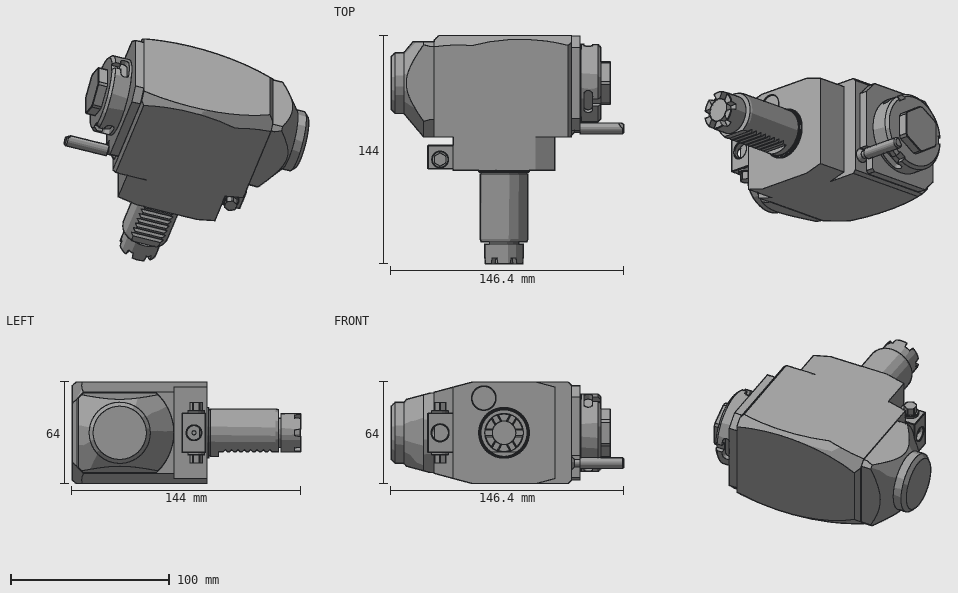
import cadquery as cq
import math


SPINDLE_Y = 55.0
HOUSING_TOP = 85.0
HALF_HEIGHT = 32.0
HOUSING_LEFT = -44.0
HOUSING_RIGHT = 42.3
STEP_Y = 21.0
FOOT_HALF_WIDTH = 32.0
TAPER_START = 20.0
TAPER_SLOPE = math.tan(math.radians(15))
BACK_CHAMFER = 3.0
RIGHT_CHAMFER = 1.9
CROWN_RADIUS = 190.0
CROWN_CENTRE_X = 10.3
CROWN_PEAK = 42.2
COVER_RADIUS = 7.75
COVER_X = -12.7
COVER_Z = 21.8
COVER_DEPTH = 0.5
COVER_TAPER = 35.0

CAP_LEFT = -71.0
CAP_RADIUS = 19.25
CAP_CHAMFER = 2.5
CAP_RIGHT = -63.0
HEAD_RADIUS = 34.0
HEAD_CONE_END = -50.6
HEAD_TOP = 81.0
HEAD_HALF_HEIGHT = 25.1
HEAD_TAPER_START = -46.35

PLATE_RIGHT = 47.8
PLATE_HALF = 29.75
PLATE_CHAMFER = 7.3
NOTCH_Z = -14.2
NOTCH_Y = 30.8

NECK_RADIUS = 21.2
NUT_LEFT = 48.5
NUT_RIGHT = 61.0
NUT_RADIUS = 24.5
NUT_CHAMFER = 1.85
NUT_SLOT_COUNT = 3
NUT_SLOT_FIRST = 30.0
NUT_SLOT_X = 52.95
NUT_SLOT_WIDTH = 5.5
NUT_SLOT_LENGTH = 16.0
NUT_SLOT_FLOOR = 19.8
NUT_KEYWAY_WIDTH = 5.2
NUT_KEYWAY_FLOOR = 21.3
HEX_RIGHT = 67.1
HEX_FLATS = 27.0
HEX_CORNER_FLATS = 30.0
HEX_CHAMFER = 0.4

PIN_RIGHT = 75.38
PIN_RADIUS = 3.5
PIN_Y = 26.4
PIN_Z = -19.1
PIN_CHAMFER = 0.9
PIN_NECK_RADIUS = 2.4
PIN_FLARE_RADIUS = 4.5
PIN_BEVEL_LENGTH = 3.0
PIN_BEVEL_DEPTH = 2.0

FLANGE_RADIUS = 16.0
FLANGE_END = -1.3
FLANGE_CHAMFER = 0.5
RELIEF_RADIUS = 14.6
RELIEF_END = -2.1
SHANK_RADIUS = 15.0
SHANK_END = -45.0
SHANK_TIP_LENGTH = 1.7
SHANK_TIP_DROP = 0.5
SHANK_NECK_RADIUS = 9.3
RACK_Z = -12.05
RACK_START = -7.2
RACK_FIRST_GROOVE = -11.4
RACK_PITCH = 4.0
RACK_GROOVE_COUNT = 8
RACK_GROOVE_DEPTH = 1.4

END_NUT_TOP = -46.3
END_NUT_BOTTOM = -59.0
END_NUT_RADIUS = 12.15
END_NUT_CHAMFER = 0.4
END_NUT_HUB_RADIUS = 7.4
END_SLOT_COUNT = 6
END_SLOT_FIRST = 90.0
END_NUT_DISH_DEPTH = 0.3
END_SLOT_DEPTH = 4.0
END_SLOT_FLOOR_WIDTH = 3.5
END_SLOT_MOUTH_WIDTH = 5.0

VALVE_LEFT = -48.0
VALVE_RIGHT = -FOOT_HALF_WIDTH
VALVE_BOTTOM = 0.9
VALVE_TOP = 15.9
VALVE_HALF_HEIGHT = 12.5
VALVE_EDGE = 0.4
VALVE_PORT_X = -40.2
VALVE_PORT_RADIUS = 5.2
VALVE_PORT_RIM = 0.5
VALVE_PORT_DEPTH = 4.0
VALVE_SIDE_PORT_Y = 8.3
VALVE_SIDE_PORT_RADIUS = 4.5
VALVE_SIDE_PORT_DEPTH = 4.1
VALVE_BLEED_RADIUS = 1.3
VALVE_BLEED_DEPTH = 7.0
SCREW_Y = 6.9
SCREW_COLLAR_RADIUS = 5.3
SCREW_COLLAR_HEIGHT = 1.2
SCREW_CONE_HEIGHT = 0.4
SCREW_HEX_FLATS = 7.3
SCREW_HEX_CORNER_FLATS = 8.0
SCREW_TOP = 19.0


def box(x_range, y_range, z_range):
    size = [high - low for low, high in (x_range, y_range, z_range)]
    corner = (x_range[0], y_range[0], z_range[0])
    return cq.Workplane("XY").box(*size, centered=False).translate(corner)


def turned_on_x(profile, axis_y):
    """Turn (x, radius) points, closed along the axis, about the line parallel to X at Y = axis_y."""
    points = [(profile[0][0], 0)] + [(x, -radius) for x, radius in profile] + [(profile[-1][0], 0)]
    section = cq.Workplane("XY").polyline(points).close()
    return section.revolve(360, (0, 0), (1, 0)).translate((0, axis_y, 0))


def turned_on_y(profile):
    """Turn (radius, y) points, closed along the axis, about the shank axis."""
    points = [(0, profile[0][1])] + [(-radius, y) for radius, y in profile] + [(0, profile[-1][1])]
    return cq.Workplane("XY").polyline(points).close().revolve(360, (0, 0), (0, 1))


def prism_along_y(outline, y_low, y_high):
    """Extrude an (x, z) outline from y_low to y_high."""
    plane = cq.Workplane("XZ", origin=(0, y_low, 0))
    return plane.polyline(outline).close().extrude(y_low - y_high)


def blunt_hexagon(face, across_flats, across_corners, length):
    """Hexagonal prism with two corners on the local Y axis and every corner cut flat."""
    flats_to_points = 1 / math.cos(math.pi / 6)
    prism = (
        face.transformed(rotate=(0, 0, 90)).polygon(6, across_flats * flats_to_points).extrude(length)
    )
    corner_trim = face.polygon(6, across_corners * flats_to_points).extrude(length)
    return prism.intersect(corner_trim)


def mirrored_in_z(upper_half):
    """Complete an outline from its upper (x, z) half, listed from left to right."""
    return upper_half + [(x, -z) for x, z in reversed(upper_half)]


def tapered_height(x):
    return HALF_HEIGHT - max(0, abs(x) - TAPER_START) * TAPER_SLOPE


def make_crown():
    """Barrel-shaped envelope about the spindle axis that rounds the +Y corners."""
    overrun = 2.0
    left = HOUSING_LEFT - overrun
    right = HOUSING_RIGHT + overrun

    def crown_radius(x):
        return CROWN_PEAK - CROWN_RADIUS + math.sqrt(CROWN_RADIUS ** 2 - (x - CROWN_CENTRE_X) ** 2)

    section = (
        cq.Workplane("XY")
        .moveTo(left, 0)
        .lineTo(left, -crown_radius(left))
        .threePointArc((CROWN_CENTRE_X, -CROWN_PEAK), (right, -crown_radius(right)))
        .lineTo(right, 0)
        .close()
    )
    barrel = section.revolve(360, (0, 0), (1, 0)).translate((0, SPINDLE_Y, 0))
    lower = box((left, right), (0, SPINDLE_Y), (-HALF_HEIGHT, HALF_HEIGHT))
    return barrel.union(lower)


def make_housing():
    chamfer_start = HOUSING_RIGHT - RIGHT_CHAMFER
    block_outline = mirrored_in_z([
        (HOUSING_LEFT, tapered_height(HOUSING_LEFT)),
        (-TAPER_START, HALF_HEIGHT),
        (chamfer_start, HALF_HEIGHT),
        (HOUSING_RIGHT, HALF_HEIGHT - RIGHT_CHAMFER),
    ])
    block = prism_along_y(block_outline, STEP_Y, HOUSING_TOP)
    block = block.faces("<X").edges(">Y").chamfer(BACK_CHAMFER)
    block = block.intersect(make_crown())

    foot_outline = mirrored_in_z([
        (-FOOT_HALF_WIDTH, tapered_height(FOOT_HALF_WIDTH)),
        (-TAPER_START, HALF_HEIGHT),
        (TAPER_START, HALF_HEIGHT),
        (FOOT_HALF_WIDTH, tapered_height(FOOT_HALF_WIDTH)),
    ])
    foot = prism_along_y(foot_outline, 0, STEP_Y)
    cover_recess = (
        cq.Workplane("XZ", origin=(COVER_X, 0, COVER_Z))
        .circle(COVER_RADIUS)
        .extrude(-COVER_DEPTH, taper=COVER_TAPER)
    )
    return block.union(foot).cut(cover_recess)


def make_head():
    turned = turned_on_x([
        (CAP_LEFT, CAP_RADIUS - CAP_CHAMFER),
        (CAP_LEFT + CAP_CHAMFER, CAP_RADIUS),
        (CAP_RIGHT, CAP_RADIUS),
        (HEAD_CONE_END, HEAD_RADIUS),
        (HOUSING_LEFT, HEAD_RADIUS),
    ], SPINDLE_Y)
    height_at_left = HEAD_HALF_HEIGHT - (HEAD_TAPER_START - CAP_LEFT) * TAPER_SLOPE
    envelope_outline = mirrored_in_z([
        (CAP_LEFT, height_at_left),
        (HEAD_TAPER_START, HEAD_HALF_HEIGHT),
        (HOUSING_LEFT, HEAD_HALF_HEIGHT),
    ])
    cap_clearance = box((CAP_LEFT, CAP_RIGHT), (0, HEAD_TOP), (-HALF_HEIGHT, HALF_HEIGHT))
    envelope = prism_along_y(envelope_outline, 0, HEAD_TOP).union(cap_clearance)
    return turned.intersect(envelope)


def make_plate():
    plate = box(
        (HOUSING_RIGHT, PLATE_RIGHT),
        (SPINDLE_Y - PLATE_HALF, SPINDLE_Y + PLATE_HALF),
        (-PLATE_HALF, PLATE_HALF),
    )
    plate = plate.edges("|X").chamfer(PLATE_CHAMFER)
    notch = box((HOUSING_RIGHT, PLATE_RIGHT), (0, NOTCH_Y), (-HALF_HEIGHT, NOTCH_Z))
    return plate.cut(notch)


def make_nut_slot():
    """One spanner slot with its keyway, cut from the +Z side of a nut centred on the X axis."""
    slot = (
        cq.Workplane("XY", origin=(NUT_SLOT_X, 0, NUT_SLOT_FLOOR))
        .slot2D(NUT_SLOT_LENGTH, NUT_SLOT_WIDTH, 90)
        .extrude(NUT_RADIUS)
    )
    half_width = NUT_KEYWAY_WIDTH / 2
    keyway = box(
        (NUT_SLOT_X, NUT_RIGHT), (-half_width, half_width), (NUT_KEYWAY_FLOOR, NUT_RADIUS)
    )
    return slot.union(keyway)


def make_nut():
    nut = turned_on_x([
        (PLATE_RIGHT, NECK_RADIUS),
        (NUT_LEFT, NECK_RADIUS),
        (NUT_LEFT, NUT_RADIUS),
        (NUT_RIGHT - NUT_CHAMFER, NUT_RADIUS),
        (NUT_RIGHT, NUT_RADIUS - NUT_CHAMFER),
    ], 0)
    for index in range(NUT_SLOT_COUNT):
        angle = NUT_SLOT_FIRST + index * 360 / NUT_SLOT_COUNT
        nut = nut.cut(make_nut_slot().rotate((0, 0, 0), (1, 0, 0), angle))

    face = cq.Workplane("YZ", origin=(NUT_RIGHT, 0, 0))
    drive = blunt_hexagon(face, HEX_FLATS, HEX_CORNER_FLATS, HEX_RIGHT - NUT_RIGHT)
    drive = drive.faces(">X").chamfer(HEX_CHAMFER)
    return nut.union(drive).translate((0, SPINDLE_Y, 0))


def make_pin():
    flare_length = PIN_FLARE_RADIUS - PIN_NECK_RADIUS
    pin = turned_on_x([
        (HOUSING_RIGHT, PIN_FLARE_RADIUS),
        (HOUSING_RIGHT + flare_length, PIN_NECK_RADIUS),
        (PLATE_RIGHT, PIN_NECK_RADIUS),
        (PLATE_RIGHT, PIN_RADIUS),
        (PIN_RIGHT - PIN_CHAMFER, PIN_RADIUS),
        (PIN_RIGHT, PIN_RADIUS - PIN_CHAMFER),
    ], 0)
    bevel_outline = [
        (PIN_RIGHT - PIN_BEVEL_LENGTH, PIN_RADIUS),
        (PIN_RIGHT, PIN_RADIUS),
        (PIN_RIGHT, PIN_RADIUS - PIN_BEVEL_DEPTH),
    ]
    bevel = prism_along_y(bevel_outline, -PIN_RADIUS, PIN_RADIUS)
    towards_spindle = math.degrees(math.atan2(SPINDLE_Y - PIN_Y, -PIN_Z))
    bevel = bevel.rotate((0, 0, 0), (1, 0, 0), -towards_spindle)
    return pin.cut(bevel).translate((0, PIN_Y, PIN_Z))


def make_shank():
    shank = turned_on_y([
        (FLANGE_RADIUS, 0),
        (FLANGE_RADIUS, FLANGE_END + FLANGE_CHAMFER),
        (FLANGE_RADIUS - FLANGE_CHAMFER, FLANGE_END),
        (RELIEF_RADIUS, FLANGE_END),
        (RELIEF_RADIUS, RELIEF_END),
        (SHANK_RADIUS, RELIEF_END),
        (SHANK_RADIUS, SHANK_END + SHANK_TIP_LENGTH),
        (SHANK_RADIUS - SHANK_TIP_DROP, SHANK_END),
        (SHANK_NECK_RADIUS, SHANK_END),
        (SHANK_NECK_RADIUS, END_NUT_TOP),
    ])
    side = (-SHANK_RADIUS, SHANK_RADIUS)
    shank = shank.cut(box(side, (SHANK_END, RACK_START), (-SHANK_RADIUS, RACK_Z)))
    for index in range(RACK_GROOVE_COUNT):
        groove_y = RACK_FIRST_GROOVE - index * RACK_PITCH
        groove = (
            cq.Workplane("YZ", origin=(-SHANK_RADIUS, 0, 0))
            .polyline([
                (groove_y - RACK_GROOVE_DEPTH, RACK_Z),
                (groove_y, RACK_Z + RACK_GROOVE_DEPTH),
                (groove_y + RACK_GROOVE_DEPTH, RACK_Z),
            ])
            .close()
            .extrude(2 * SHANK_RADIUS)
        )
        shank = shank.cut(groove)
    return shank


def make_end_nut():
    nut = turned_on_y([
        (END_NUT_RADIUS, END_NUT_TOP),
        (END_NUT_RADIUS, END_NUT_BOTTOM + END_NUT_CHAMFER),
        (END_NUT_RADIUS - END_NUT_CHAMFER, END_NUT_BOTTOM),
    ])
    half_floor = END_SLOT_FLOOR_WIDTH / 2
    half_mouth = END_SLOT_MOUTH_WIDTH / 2
    slot_floor = END_NUT_BOTTOM + END_SLOT_DEPTH
    slot = (
        cq.Workplane("XY")
        .polyline([
            (-half_floor, slot_floor),
            (half_floor, slot_floor),
            (half_mouth, END_NUT_BOTTOM),
            (-half_mouth, END_NUT_BOTTOM),
        ])
        .close()
        .extrude(END_NUT_RADIUS)
    )
    hub = turned_on_y([(END_NUT_HUB_RADIUS, slot_floor), (END_NUT_HUB_RADIUS, END_NUT_BOTTOM)])
    slot = slot.cut(hub)
    nut = nut.cut(hub.translate((0, -END_SLOT_DEPTH + END_NUT_DISH_DEPTH, 0)))
    for index in range(END_SLOT_COUNT):
        angle = END_SLOT_FIRST + index * 360 / END_SLOT_COUNT
        nut = nut.cut(slot.rotate((0, 0, 0), (0, 1, 0), angle))
    return nut


def make_valve_screw():
    """Hexagon-headed screw on the +Z face of the valve block."""
    base = cq.Workplane("XY", origin=(VALVE_PORT_X, SCREW_Y, VALVE_HALF_HEIGHT))
    collar = base.circle(SCREW_COLLAR_RADIUS).extrude(SCREW_COLLAR_HEIGHT + SCREW_CONE_HEIGHT)
    collar = collar.faces(">Z").chamfer(SCREW_CONE_HEIGHT)
    head = blunt_hexagon(
        base, SCREW_HEX_FLATS, SCREW_HEX_CORNER_FLATS, SCREW_TOP - VALVE_HALF_HEIGHT
    )
    return collar.union(head)


def make_port(radius, depth):
    """Blind bore with a countersunk rim, sunk along +Z from the origin."""
    start = cq.Workplane("XY")
    bore = start.circle(radius).extrude(depth)
    rim = start.circle(radius + VALVE_PORT_RIM).extrude(VALVE_PORT_RIM, taper=45)
    return bore.union(rim)


def make_valve():
    block = box(
        (VALVE_LEFT, VALVE_RIGHT), (VALVE_BOTTOM, VALVE_TOP), (-VALVE_HALF_HEIGHT, VALVE_HALF_HEIGHT)
    )
    outer_edges = block.edges("<X or (|X and >Y) or (|X and <Y)")
    block = outer_edges.chamfer(VALVE_EDGE)

    port = make_port(VALVE_PORT_RADIUS, VALVE_PORT_DEPTH)
    port = port.rotate((0, 0, 0), (1, 0, 0), -90).translate((VALVE_PORT_X, VALVE_BOTTOM, 0))
    side_port = make_port(VALVE_SIDE_PORT_RADIUS, VALVE_SIDE_PORT_DEPTH)
    bleed = cq.Workplane("XY").circle(VALVE_BLEED_RADIUS).extrude(VALVE_BLEED_DEPTH)
    side_port = side_port.union(bleed).rotate((0, 0, 0), (0, 1, 0), 90)
    side_port = side_port.translate((VALVE_LEFT, VALVE_SIDE_PORT_Y, 0))
    block = block.cut(port).cut(side_port)

    screw = make_valve_screw()
    return block.union(screw).union(screw.mirror("XY"))


result = make_housing()
for component in (
    make_head(),
    make_plate(),
    make_nut(),
    make_pin(),
    make_shank(),
    make_end_nut(),
    make_valve(),
):
    result = result.union(component)